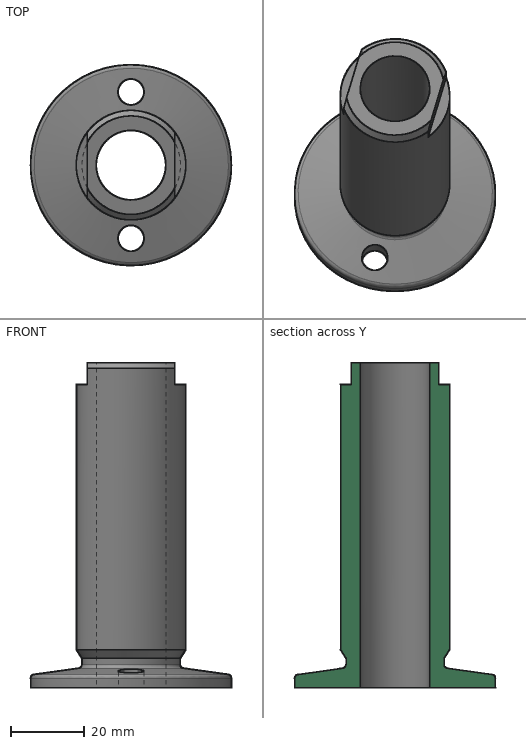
import cadquery as cq

total_height = 89.0
flange_radius = 55.0 / 2
tube_radius = 30.0 / 2
neck_radius = 27.0 / 2
bore_diameter = 19.0

rim_height = 3.6
cone_top = 5.5
neck_top = 8.0
tube_bottom = 10.4

flange_round = 1.1
neck_round = 1.0
top_chamfer = 1.5

flat_spacing = 24.0
flat_height = 6.0

mount_hole_diameter = 7.0
mount_hole_spacing = 40.05


def make_body():
    """Revolve the flange, neck and tube, then round the flange and neck corners."""
    body = (
        cq.Workplane("XZ")
        .moveTo(0, 0)
        .lineTo(flange_radius, 0)
        .lineTo(flange_radius, rim_height)
        .lineTo(neck_radius, cone_top)
        .lineTo(neck_radius, neck_top)
        .lineTo(tube_radius, tube_bottom)
        .lineTo(tube_radius, total_height - top_chamfer)
        .lineTo(tube_radius - top_chamfer, total_height)
        .lineTo(0, total_height)
        .close()
        .revolve(360, (0, 0, 0), (0, 1, 0))
    )
    body = round_circle(body, rim_height, flange_round)
    return round_circle(body, cone_top, neck_round)


def round_circle(body, height, radius):
    """Fillet the circular edge lying at the given height."""
    margin = 0.1
    reach = 2 * flange_radius
    selector = cq.selectors.BoxSelector(
        (-reach, -reach, height - margin),
        (reach, reach, height + margin),
        boundingbox=True,
    )
    return body.edges("%CIRCLE").edges(selector).fillet(radius)


def cut_flats(body):
    """Cut two parallel flats, facing -X and +X, at the upper end."""
    cut_width = tube_radius
    for side in (-1, 1):
        block_center = side * (flat_spacing + cut_width) / 2
        block = (
            cq.Workplane("XY", origin=(block_center, 0, total_height - flat_height))
            .box(cut_width, 2 * tube_radius, flat_height, centered=(True, True, False))
        )
        body = body.cut(block)
    return body


def cut_holes(body):
    """Drill the central bore and the two flange holes through."""
    bore = cq.Workplane("XY").circle(bore_diameter / 2).extrude(total_height)
    mount_holes = (
        cq.Workplane("XY")
        .rarray(0.9, mount_hole_spacing, 1, 2)
        .circle(mount_hole_diameter / 2)
        .extrude(cone_top)
    )
    return body.cut(bore).cut(mount_holes)


result = cut_holes(cut_flats(make_body()))